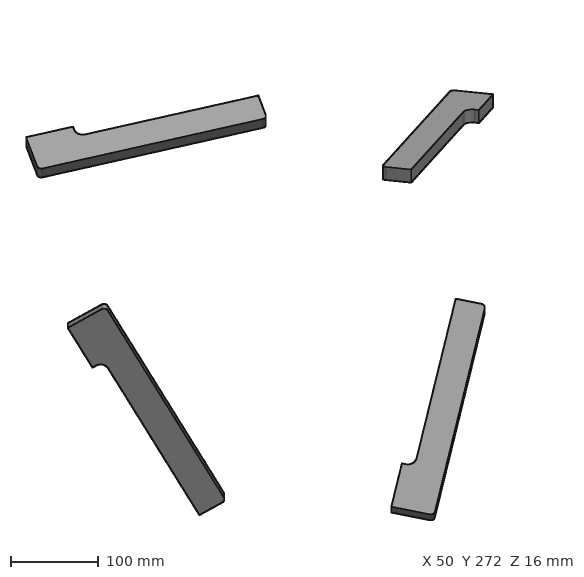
import cadquery as cq

width = 50.0
length = 272.0
thickness = 16.0

foot_length = 56.0
foot_step = 15.0

inner_radius = 10.0
corner_radius = 5.0

left = -width / 2
right = width / 2
front = -length / 2
back = length / 2
bar_left = left + foot_step
foot_back = front + foot_length

plate = (
    cq.Workplane("XY")
    .workplane(offset=-thickness / 2)
    .moveTo(left, front)
    .lineTo(right, front)
    .lineTo(right, back)
    .lineTo(bar_left, back)
    .lineTo(bar_left, foot_back)
    .lineTo(left, foot_back)
    .close()
    .extrude(thickness)
)

plate = plate.faces(">X").edges("|Z").fillet(corner_radius)

inner_corner = cq.selectors.NearestToPointSelector((bar_left, foot_back, 0))
result = plate.edges("|Z").edges(inner_corner).fillet(inner_radius)